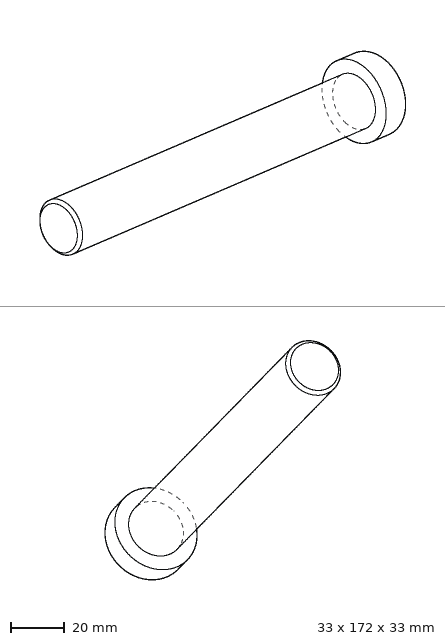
import cadquery as cq

total_length = 172.0
head_diameter = 33.0
head_thickness = 12.0
shank_diameter = 22.0
head_edge_radius = 2.4
tip_chamfer = 1.4

head_radius = head_diameter / 2
shank_radius = shank_diameter / 2
tip_y = -total_length / 2
head_top_y = total_length / 2
head_underside_y = head_top_y - head_thickness

half_section = (
    cq.Workplane("XY")
    .moveTo(0, tip_y)
    .lineTo(shank_radius - tip_chamfer, tip_y)
    .lineTo(shank_radius, tip_y + tip_chamfer)
    .lineTo(shank_radius, head_underside_y)
    .lineTo(head_radius, head_underside_y)
    .lineTo(head_radius, head_top_y - head_edge_radius)
    .tangentArcPoint((head_radius - head_edge_radius, head_top_y), relative=False)
    .lineTo(0, head_top_y)
    .close()
)

result = half_section.revolve(360, (0, 0, 0), (0, 1, 0))